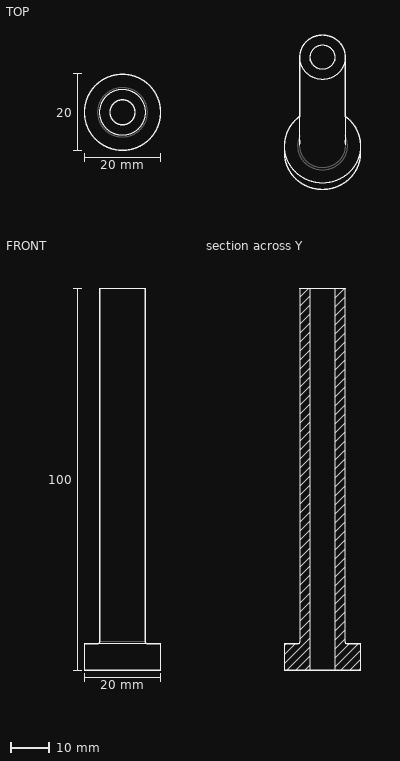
import cadquery as cq

total_length = 100.0
head_diameter = 20.0
head_height = 7.0
shank_diameter = 12.0
bore_diameter = 6.5
neck_fillet = 0.5

head_radius = head_diameter / 2
shank_radius = shank_diameter / 2
bore_radius = bore_diameter / 2

half_section = (
    cq.Workplane("XZ")
    .moveTo(bore_radius, 0)
    .lineTo(head_radius, 0)
    .lineTo(head_radius, head_height)
    .lineTo(shank_radius + neck_fillet, head_height)
    .radiusArc((shank_radius, head_height + neck_fillet), neck_fillet)
    .lineTo(shank_radius, total_length)
    .lineTo(bore_radius, total_length)
    .close()
)

result = half_section.revolve(360, (0, 0, 0), (0, 1, 0))